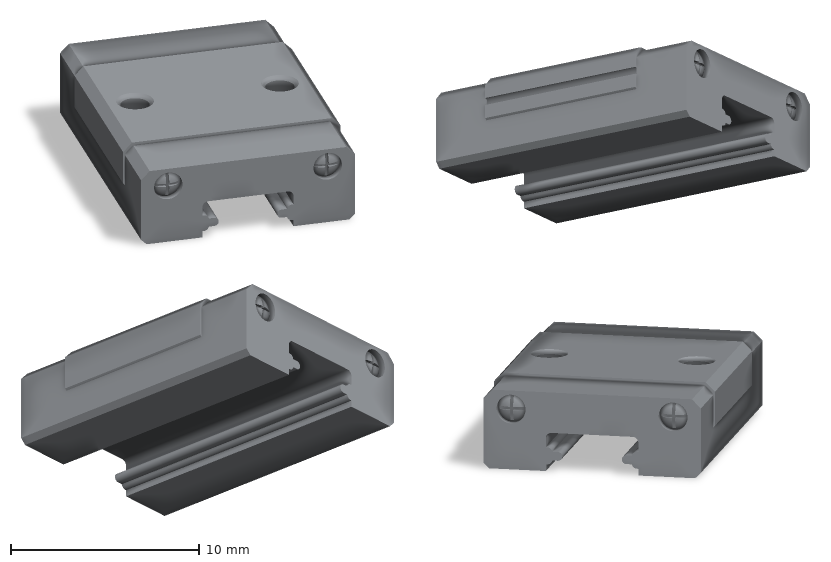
import cadquery as cq
import math


total_length = 16.0
block_length = 9.6
block_width = 12.0
block_height = 4.5
seal_thickness = 0.8
cap_thickness = (total_length - block_length) / 2 - seal_thickness

end_width = 11.8
end_height = 4.3
end_top_chamfer = 0.48
bottom_chamfer = 0.3

block_chamfer = 0.5
ledge_height = 2.15
ledge_width = (block_width - end_width) / 2
groove_radius = 0.2
groove_height = 3.07

channel_half_width = 2.51
channel_height = 2.1
channel_corner_radius = 0.3
lip_height = 0.83
lip_half_thickness = 0.24
lip_tip = 1.62
lip_root = 2.16
shoulder_half_height = 0.46
shoulder_edge = 2.43

mount_spacing = 8.0
mount_diameter = 1.57
mount_mouth_diameter = 2.0
mount_depth = 1.5
drill_tip_angle = 118.0

screw_spacing = 8.8
screw_height = 3.3
screw_diameter = 1.57
screw_rim_depth = 0.4
screw_crown_depth = 0.1
cross_slot_width = 0.18
cross_slot_floor_depth = 0.32

ENDS = (-1, 1)
SIDES = (-1, 1)
half_block = block_length / 2
half_length = total_length / 2


def arc_middle(start, end, center):
    """Point halfway along the shorter arc from start to end around center."""
    radius = math.dist(start, center)
    mid_y = (start[0] + end[0]) / 2 - center[0]
    mid_z = (start[1] + end[1]) / 2 - center[1]
    scale = radius / math.hypot(mid_y, mid_z)
    return center[0] + mid_y * scale, center[1] + mid_z * scale


def half_channel():
    """Section of the rail channel on the +Y side of the centre plane, in (Y, Z)."""
    shoulder_top = lip_height + shoulder_half_height
    shoulder_bottom = lip_height - shoulder_half_height
    lip_top = lip_height + lip_half_thickness
    lip_bottom = lip_height - lip_half_thickness
    nose_start = lip_tip + lip_half_thickness
    corner_center = (channel_half_width - channel_corner_radius, channel_height - channel_corner_radius)
    corner_start = (channel_half_width, corner_center[1])
    corner_end = (corner_center[0], channel_height)

    round_width = shoulder_edge - lip_root
    round_height = shoulder_half_height - lip_half_thickness
    round_radius = (round_width ** 2 + round_height ** 2) / (2 * round_height)
    lower_start = (shoulder_edge, shoulder_bottom)
    lower_end = (lip_root, lip_bottom)
    lower_center = (shoulder_edge, shoulder_bottom + round_radius)
    upper_start = (lip_root, lip_top)
    upper_end = (shoulder_edge, shoulder_top)
    upper_center = (shoulder_edge, shoulder_top - round_radius)
    return (
        cq.Workplane("YZ")
        .moveTo(0, 0)
        .lineTo(channel_half_width, 0)
        .lineTo(channel_half_width, shoulder_bottom)
        .lineTo(*lower_start)
        .threePointArc(arc_middle(lower_start, lower_end, lower_center), lower_end)
        .lineTo(nose_start, lip_bottom)
        .threePointArc((lip_tip, lip_height), (nose_start, lip_top))
        .lineTo(*upper_start)
        .threePointArc(arc_middle(upper_start, upper_end, upper_center), upper_end)
        .lineTo(channel_half_width, shoulder_top)
        .lineTo(*corner_start)
        .threePointArc(arc_middle(corner_start, corner_end, corner_center), corner_end)
        .lineTo(0, channel_height)
        .close()
    )


def rail_channel():
    """Cutter for the rail channel, running the full length."""
    half = half_channel().extrude(half_length, both=True)
    return half.union(half.mirror("XZ"))


def section_with(right_half):
    """Closed section from its +Y outline, listed from bottom to top, and the mirror image of it."""
    left_half = [(-y, z) for y, z in reversed(right_half)]
    return cq.Workplane("YZ").polyline(right_half + left_half).close()


def end_section():
    half = end_width / 2
    return section_with([
        (half - bottom_chamfer, 0),
        (half, bottom_chamfer),
        (half, end_height - end_top_chamfer),
        (half - end_top_chamfer, end_height),
    ])


def end_plate(inner_x, thickness, end):
    """Plate with the end section, reaching outward from inner_x at one end of the carriage."""
    plate = end_section().extrude(end * thickness).translate((end * inner_x, 0, 0))
    return plate.cut(rail_channel())


def mounting_hole(y):
    """Blind drilled hole with a conical tip and a chamfered mouth."""
    radius = mount_diameter / 2
    mouth_radius = mount_mouth_diameter / 2
    tip_length = radius / math.tan(math.radians(drill_tip_angle / 2))
    floor = block_height - mount_depth
    return (
        cq.Workplane("XZ")
        .polyline([
            (0, block_height),
            (mouth_radius, block_height),
            (radius, block_height - (mouth_radius - radius)),
            (radius, floor),
            (0, floor - tip_length),
        ])
        .close()
        .revolve(360, (0, 0), (0, 1))
        .translate((0, y, 0))
    )


def make_block():
    upper_half = block_width / 2
    lower_half = end_width / 2
    block = section_with([
        (lower_half - bottom_chamfer, 0),
        (lower_half, bottom_chamfer),
        (lower_half, ledge_height - ledge_width),
        (upper_half, ledge_height),
        (upper_half, block_height - block_chamfer),
        (upper_half - block_chamfer, block_height),
    ]).extrude(half_block, both=True)
    block = block.cut(rail_channel())

    groove = (
        cq.Workplane("YZ")
        .center(upper_half, groove_height)
        .circle(groove_radius)
        .extrude(half_block, both=True)
    )
    block = block.cut(groove)

    for side in SIDES:
        block = block.cut(mounting_hole(side * mount_spacing / 2))
    return block


def make_end_cap(end):
    return end_plate(half_block, cap_thickness, end)


def make_end_seal(end):
    screw_holes = (
        cq.Workplane("YZ")
        .pushPoints([(side * screw_spacing / 2, screw_height) for side in SIDES])
        .circle(screw_diameter / 2)
        .extrude(half_length, both=True)
    )
    return end_plate(half_block + cap_thickness, seal_thickness, end).cut(screw_holes)


def make_screw(end, side):
    """Domed, cross-slotted head that fills its hole in the seal and rests on the end cap."""
    radius = screw_diameter / 2
    rim = seal_thickness - screw_rim_depth
    crown = seal_thickness - screw_crown_depth
    dome_rise = crown - rim
    dome_radius = (radius ** 2 + dome_rise ** 2) / (2 * dome_rise)
    dome_middle = (radius / 2, crown - dome_radius + math.sqrt(dome_radius ** 2 - (radius / 2) ** 2))
    head = (
        cq.Workplane("XZ")
        .lineTo(radius, 0)
        .lineTo(radius, rim)
        .threePointArc(dome_middle, (0, crown))
        .close()
        .revolve(360, (0, 0), (0, 1))
    )
    slots = cq.Workplane("XY").workplane(offset=seal_thickness - cross_slot_floor_depth)
    for turn in (0, 90):
        slot = slots.transformed(rotate=(0, 0, turn)).rect(screw_diameter, cross_slot_width)
        head = head.cut(slot.extrude(cross_slot_floor_depth))
    outward = head.rotate((0, 0, 0), (0, 1, 0), end * 90)
    seat_x = end * (half_block + cap_thickness)
    return outward.translate((seat_x, side * screw_spacing / 2, screw_height))


block = make_block()
end_caps = [make_end_cap(end) for end in ENDS]
end_seals = [make_end_seal(end) for end in ENDS]
screws = [make_screw(end, side) for end in ENDS for side in SIDES]

result = cq.Compound.makeCompound([body.val() for body in [block, *end_caps, *end_seals, *screws]])